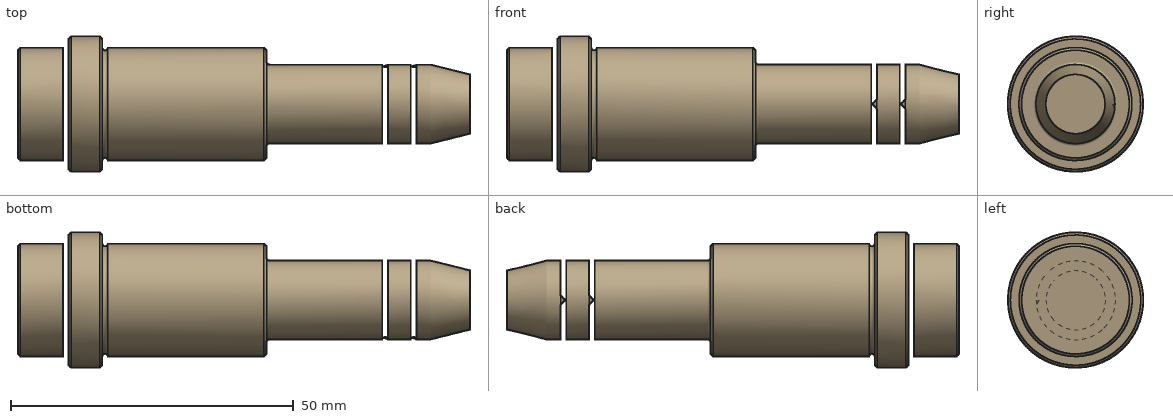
import cadquery as cq

total_length = 80.0
flange_start = 9.0
flange_width = 6.0
body_end = 44.0
tip_length = 7.0
shank_groove_starts = (64.5, 69.5)

body_diameter = 20.0
flange_diameter = 24.0
shank_diameter = 14.0
tip_diameter = 10.5

chamfer = 0.5
groove_radius = 0.5
shank_root_fillet = 0.5

flange_end = flange_start + flange_width
tip_start = total_length - tip_length


def cylinder(start, end, diameter):
    """Solid cylinder along X between two stations."""
    return cq.Workplane("YZ", origin=(start, 0, 0)).circle(diameter / 2).extrude(end - start)


def round_groove(start, diameter):
    """Ring of circular section, centred on the surface of the given diameter."""
    section = cq.Workplane("XY").center(start + groove_radius, diameter / 2).circle(groove_radius)
    return section.revolve(360, (0, -diameter / 2, 0), (1, -diameter / 2, 0))


body = cylinder(0, body_end, body_diameter).edges().chamfer(chamfer)

flange = cylinder(flange_start, flange_end, flange_diameter).edges().chamfer(chamfer)
flange_groove_starts = (flange_start - 2 * groove_radius, flange_end)
for groove_start in flange_groove_starts:
    body = body.cut(round_groove(groove_start, body_diameter))

shank = cylinder(body_end, tip_start, shank_diameter)
tip = (
    cq.Workplane("YZ", origin=(tip_start, 0, 0))
    .circle(shank_diameter / 2)
    .workplane(offset=tip_length)
    .circle(tip_diameter / 2)
    .loft()
)
result = body.union(flange).union(shank).union(tip)

shank_root = cq.selectors.RadiusNthSelector(0)
result = result.edges(cq.selectors.BoxSelector(
    (body_end - chamfer / 2, -shank_diameter, -shank_diameter),
    (body_end + chamfer / 2, shank_diameter, shank_diameter),
)).edges(shank_root).fillet(shank_root_fillet)

for groove_start in shank_groove_starts:
    result = result.cut(round_groove(groove_start, shank_diameter))